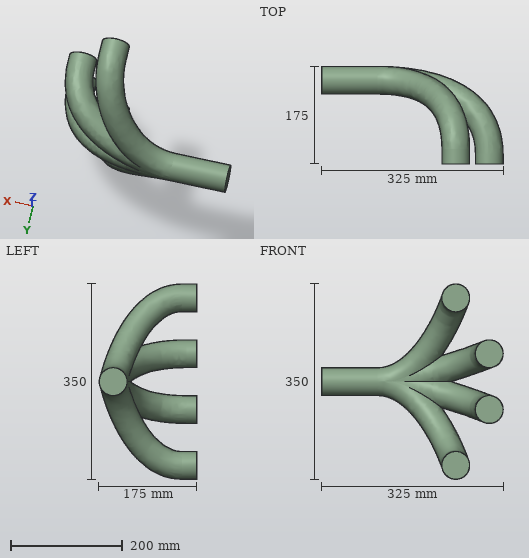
import cadquery as cq

overall_height = 350.0
outlet_count = 4
pipe_diameter = overall_height / (2 * outlet_count - 1)
pipe_radius = pipe_diameter / 2
outlet_pitch = 2 * pipe_diameter

inlet_length = 2 * pipe_diameter
outlet_depth = 3 * pipe_diameter
inner_outlet_x = 4 * pipe_diameter
outer_outlet_x = 140.0
inner_outlet_z = outlet_pitch / 2
outer_outlet_z = inner_outlet_z + outlet_pitch

inner_start_handle = 76.0
inner_end_handle = 113.0
inner_straight_end = 18.2
outer_start_handle = 91.0
outer_end_handle = 89.2
outer_straight_end = 26.2


def inlet_pipe():
    """Straight pipe along X, ending at the origin where the branches start."""
    return cq.Workplane("YZ", origin=(-inlet_length, 0, 0)).circle(pipe_radius).extrude(inlet_length)


def branch(outlet_x, outlet_z, start_handle, end_handle, straight_end):
    """Pipe that leaves the inlet along +X, bends smoothly and ends straight along -Y."""
    bend_end_y = straight_end - outlet_depth
    path = cq.Workplane("XY").bezier(
        [
            (0, 0, 0),
            (start_handle, 0, 0),
            (outlet_x, bend_end_y + end_handle, outlet_z),
            (outlet_x, bend_end_y, outlet_z),
        ]
    )
    bend = cq.Workplane("YZ").circle(pipe_radius).sweep(path)
    outlet = (
        cq.Workplane("XZ", origin=(outlet_x, bend_end_y, outlet_z))
        .circle(pipe_radius)
        .extrude(straight_end)
    )
    return bend.union(outlet)


def upper_half():
    """Inlet and two branches, cut off at the symmetry plane Z = 0."""
    inner = branch(
        inner_outlet_x, inner_outlet_z, inner_start_handle, inner_end_handle, inner_straight_end
    )
    outer = branch(
        outer_outlet_x, outer_outlet_z, outer_start_handle, outer_end_handle, outer_straight_end
    )
    box_size = 3 * overall_height
    upper_space = cq.Workplane("XY").box(box_size, box_size, box_size, centered=(True, True, False))
    inner_half = inner.intersect(upper_space)
    outer_half = outer.intersect(upper_space)
    inlet_half = inlet_pipe().intersect(upper_space)
    return inner_half.union(outer_half).union(inlet_half)


half = upper_half()
result = half.union(half.mirror("XY"))